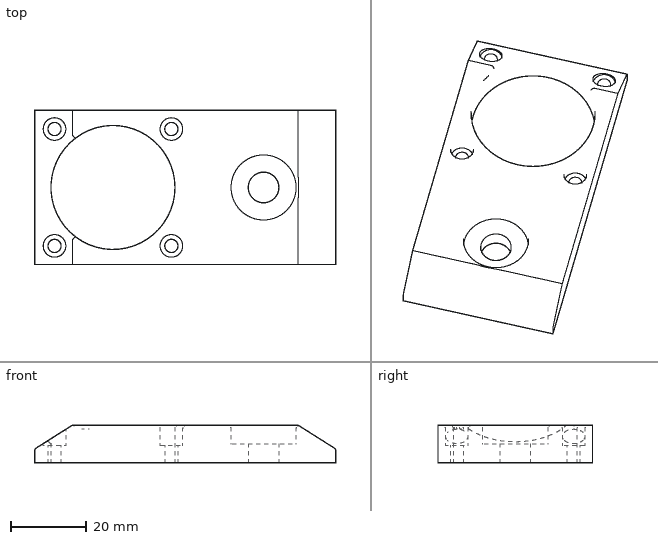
import cadquery as cq
import math

length = 79.85
width = 41.0
height = 10.0
bevel_run = 10.0
nose_height = 3.7
nose_radius = 1.0

opening_x = -19.2
opening_diameter = 32.8
screw_spacing = 31.0
screw_diameter = 3.4
screw_head_diameter = 6.0
screw_seat_z = 4.6

pivot_x = 20.8
pivot_diameter = 8.1
pivot_recess_diameter = 17.25
pivot_seat_z = 5.0

rim_radius = 1.0
select_margin = 0.1


def bevelled_plate():
    half = length / 2
    outline = [
        (-half, 0),
        (half, 0),
        (half, nose_height),
        (half - bevel_run, height),
        (bevel_run - half, height),
        (-half, nose_height),
    ]
    plate = cq.Workplane("XZ").polyline(outline).close().extrude(width / 2, both=True)
    nose_edges = cq.selectors.BoxSelector(
        (-length, -width, nose_height - select_margin),
        (length, width, nose_height + select_margin),
    )
    return plate.edges("|Y").edges(nose_edges).fillet(nose_radius)


def cylinder(x, y, diameter, base_z):
    """Cutter running from base_z up to the top plane of the plate."""
    return cq.Workplane("XY", origin=(x, y, base_z)).circle(diameter / 2).extrude(height - base_z)


def rounded_recess(x, y, diameter, base_z):
    """Recess cutter whose wall flares out in a convex round to meet the top face."""
    radius = diameter / 2
    mid_offset = rim_radius * (1 - math.cos(math.pi / 4))
    return (
        cq.Workplane("XZ", origin=(x, y, 0))
        .moveTo(0, base_z)
        .lineTo(radius, base_z)
        .lineTo(radius, height - rim_radius)
        .threePointArc(
            (radius + mid_offset, height - mid_offset),
            (radius + rim_radius, height),
        )
        .lineTo(0, height)
        .close()
        .revolve(360, (0, 0, 0), (0, 1, 0))
    )


result = bevelled_plate().cut(cylinder(opening_x, 0, opening_diameter, 0))
opening_radius = opening_diameter / 2
rim_box = cq.selectors.BoxSelector(
    (opening_x - opening_radius - select_margin, -opening_radius - select_margin, nose_height),
    (opening_x + opening_radius + select_margin, opening_radius + select_margin, height + select_margin),
)
rim = result.edges(rim_box).edges("not |Z").edges("not |Y")
result = rim.fillet(rim_radius)

for side in (-1, 1):
    y = side * screw_spacing / 2
    bevel_x = opening_x - screw_spacing / 2
    top_x = opening_x + screw_spacing / 2
    for x in (bevel_x, top_x):
        result = result.cut(cylinder(x, y, screw_diameter, 0))
    result = result.cut(cylinder(bevel_x, y, screw_head_diameter, screw_seat_z))
    result = result.cut(rounded_recess(top_x, y, screw_head_diameter, screw_seat_z))

result = result.cut(cylinder(pivot_x, 0, pivot_diameter, 0))
result = result.cut(rounded_recess(pivot_x, 0, pivot_recess_diameter, pivot_seat_z))